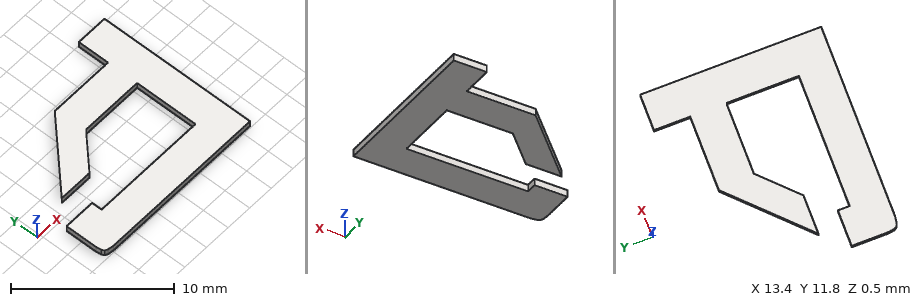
import cadquery as cq

length = 13.41
height = 11.84
thickness = 0.5

limb = height / 5
hook_height = 3.14

corner_length = 0.76
corner_facet_points = [(0.34, 0.07), (0.15, 0.16), (0.05, 0.35)]

arm_bottom = 4.76
arm_inner_top = 3 * limb
arm_outer_top = 4 * limb
arm_tip_x = 1.42
arm_tip_width = 2.56

stem_x = length - limb
arm_inner_x = arm_tip_x + arm_tip_width

outline = (
    cq.Workplane("XY")
    .moveTo(corner_length, 0)
    .lineTo(length, 0)
    .lineTo(length, height)
    .lineTo(stem_x, height)
    .lineTo(stem_x, arm_outer_top)
    .lineTo(arm_tip_x + arm_outer_top - arm_bottom, arm_outer_top)
    .lineTo(arm_tip_x, arm_bottom)
    .lineTo(arm_inner_x, arm_bottom)
    .lineTo(arm_inner_x + arm_inner_top - arm_bottom, arm_inner_top)
    .lineTo(stem_x, arm_inner_top)
    .lineTo(stem_x, limb)
    .lineTo(limb, limb)
    .lineTo(limb, hook_height)
    .lineTo(0, hook_height)
    .lineTo(0, corner_length)
)

for x, y in reversed(corner_facet_points):
    outline = outline.lineTo(x, y)

result = outline.close().extrude(thickness)